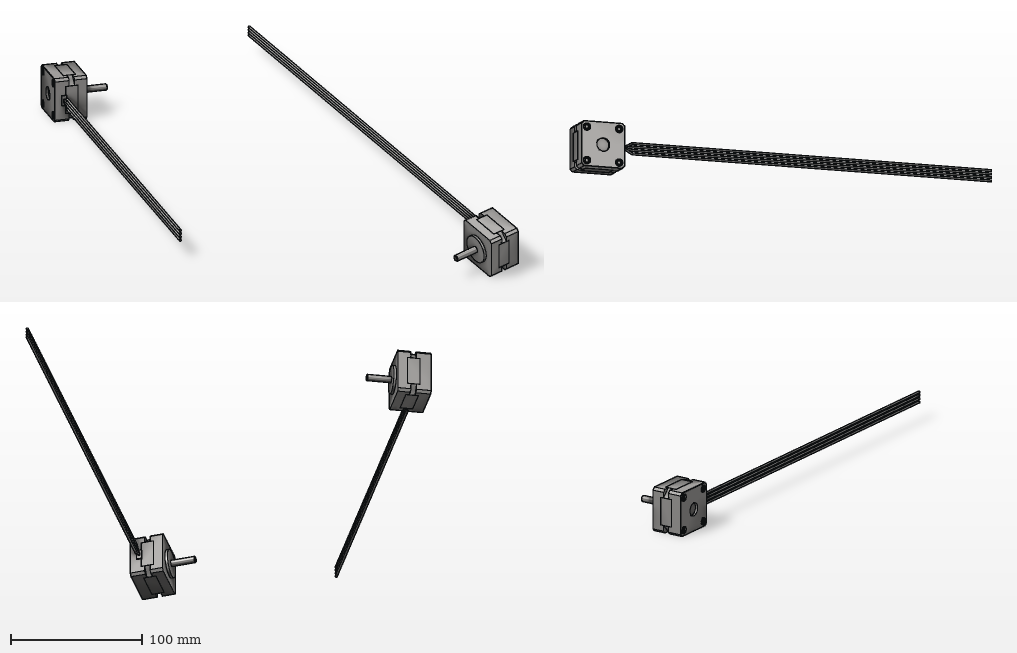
import cadquery as cq
import math


body_size = 35.2
body_length = 25.8
corner_chamfer = 2.0
rear_chamfer = 0.5
half_size = body_size / 2

stator_y = -12.0
notch_width = 4.5
notch_leg = 6.5
recess_length = 22.0
recess_width = 9.7
recess_depth = 0.17

pilot_diameter = 22.0
pilot_height = 2.0
shaft_diameter = 5.0
shaft_length = 19.0
shaft_chamfer = 0.7

bore_diameter = 10.5
bore_depth = 2.0

screw_spacing = 26.0
counterbore_diameter = 5.7
counterbore_depth = 1.7
head_diameter = 5.0
head_height = 1.5
head_chamfer = 0.7
socket_width = 2.7
socket_depth = 0.7

overall_length = 335.2
wire_y = -18.5
wire_diameter = 1.7
wire_pitch = 2.7
bunch_pitch = 0.5
fan_start = 2.5
fan_end = 8.7
grommet_width = 4.0
grommet_height = 8.0
grommet_length = 1.0
wire_count = 4


def disc(diameter, y_start, length):
    """Cylinder on the shaft axis, growing along Y by a signed length."""
    plane = cq.Workplane("XZ", origin=(0, y_start, 0))
    return plane.circle(diameter / 2).extrude(-length)


def make_body():
    body = cq.Workplane("XY").box(body_size, body_length, body_size, centered=(True, False, True))
    body = body.translate((0, -body_length, 0))
    return body.edges("|Y").chamfer(corner_chamfer).faces("<Y").chamfer(rear_chamfer)


def corner_notches():
    """Triangular prisms that deepen the corner chamfers at the stator."""
    y_front = stator_y + notch_width / 2
    notches = cq.Workplane("XZ", origin=(0, y_front, 0))
    for x_side in (-1, 1):
        for z_side in (-1, 1):
            x_corner = x_side * half_size
            z_corner = z_side * half_size
            notches = notches.polyline([
                (x_corner, z_corner),
                (x_corner - x_side * notch_leg, z_corner),
                (x_corner, z_corner - z_side * notch_leg),
            ]).close()
    return notches.extrude(notch_width)


def side_recesses():
    """Shallow rectangular recess in each of the four sides."""
    recess = cq.Workplane("XY").box(recess_length, recess_width, 2 * recess_depth)
    recess = recess.translate((0, stator_y, half_size))
    recesses = cq.Workplane("XY")
    for quarter in range(4):
        recesses = recesses.add(recess.rotate((0, 0, 0), (0, 1, 0), 90 * quarter))
    return recesses.combine()


def screw_plane(y):
    """The four screw centres on a plane at the given Y."""
    plane = cq.Workplane("XZ", origin=(0, y, 0))
    return plane.rect(screw_spacing, screw_spacing, forConstruction=True).vertices()


def counterbores():
    return screw_plane(-body_length).circle(counterbore_diameter / 2).extrude(-counterbore_depth)


def screw_heads():
    """Chamfered heads with a hexagonal socket, sunk in the counterbores."""
    floor_y = counterbore_depth - body_length
    heads = screw_plane(floor_y).circle(head_diameter / 2).extrude(head_height)
    heads = heads.faces("<Y").edges().chamfer(head_chamfer)
    socket_diameter = socket_width / math.cos(math.pi / 6)
    top_y = floor_y - head_height
    sockets = screw_plane(top_y).polygon(6, socket_diameter).extrude(-socket_depth)
    return heads.cut(sockets)


def make_shaft():
    pilot = disc(pilot_diameter, 0, pilot_height)
    shaft = disc(shaft_diameter, 0, pilot_height + shaft_length)
    return pilot.union(shaft.faces(">Y").chamfer(shaft_chamfer))


def make_wire(slot):
    """One lead: bunched at the grommet, fanned out, then straight to the end."""
    bunch_z = slot * bunch_pitch
    spread_z = slot * wire_pitch
    path = cq.Workplane("XZ", origin=(0, wire_y, 0)).polyline([
        (half_size - grommet_length, bunch_z),
        (half_size + fan_start, bunch_z),
        (half_size + fan_end, spread_z),
        (overall_length - half_size, spread_z),
    ])
    start = cq.Workplane("YZ", origin=(half_size - grommet_length, wire_y, bunch_z))
    return start.circle(wire_diameter / 2).sweep(path, transition="right")


def make_leads():
    leads = cq.Workplane("XY").box(2 * grommet_length, grommet_width, grommet_height)
    leads = leads.translate((half_size, wire_y, 0))
    for index in range(wire_count):
        leads = leads.union(make_wire(index - (wire_count - 1) / 2))
    return leads


motor = make_body().cut(corner_notches()).cut(side_recesses())
motor = motor.cut(disc(bore_diameter, -body_length, bore_depth))
motor = motor.cut(counterbores()).union(screw_heads())
result = motor.union(make_shaft()).union(make_leads())